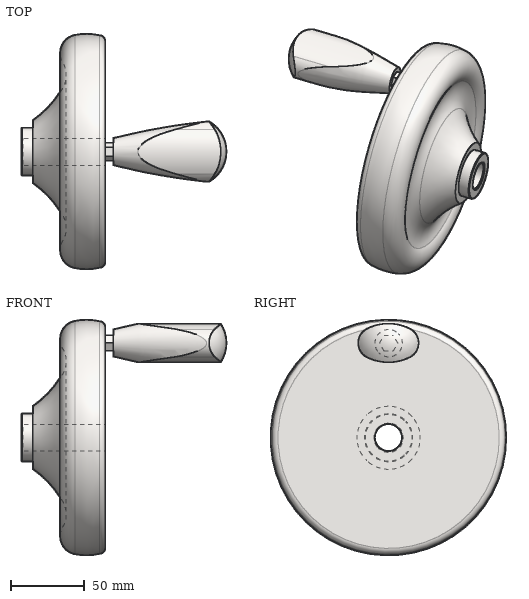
import cadquery as cq
import math

rim_radius = 80.0
rim_front_x = 26.4
rim_back_x = 57.0
crown_start_x = 36.2
crown_end_x = 45.3
crown_start_radius = 79.2
back_round_start_x = 52.8
back_round_start_radius = 79.0
back_face_radius = 75.0
rim_front_radius = 69.3
valley_end_radius = 59.0
valley_end_x = 28.8
valley_bottom_radius = 51.7
valley_bottom_x = 30.2
web_inflection_radius = 40.5
web_inflection_x = 26.0
web_middle_x = 18.4
web_middle_radius = 30.5
boss_radius = 21.5
hub_radius = 16.3
hub_length = 7.8
hub_chamfer = 0.5
bore_radius = 9.1
bore_chamfer = 0.8

handle_offset = 64.2
stem_across_flats = 10.7
grip_start_x = 62.4
grip_start_radius = 9.3
grip_middle_x = 92.0
grip_middle_radius = 15.7
grip_shoulder_x = 127.0
grip_shoulder_radius = 20.6
grip_end_x = 139.2

oval_half_height = 13.1
oval_half_width = 20.5
oval_join_y = 15.0
oval_join_z = 9.5


def revolve_about_x(profile):
    """Turn a closed XY profile fully around the X axis."""
    return profile.revolve(360, (0, 0, 0), (1, 0, 0))


def midway_on_arc(start, end, center):
    """Return the point halfway along the short arc from start to end about center."""
    radius = math.dist(start, center)
    dx = start[0] + end[0] - 2 * center[0]
    dy = start[1] + end[1] - 2 * center[1]
    length = math.hypot(dx, dy)
    return center[0] + radius * dx / length, center[1] + radius * dy / length


def make_wheel():
    """Dished wheel with a rounded rim, a projecting hub and a through bore."""
    back_round_middle = midway_on_arc(
        (back_round_start_x, back_round_start_radius),
        (rim_back_x, back_face_radius),
        (back_round_start_x, back_face_radius),
    )
    profile = (
        cq.Workplane("XY")
        .moveTo(0, bore_radius + bore_chamfer)
        .lineTo(0, hub_radius - hub_chamfer)
        .lineTo(hub_chamfer, hub_radius)
        .lineTo(hub_length, hub_radius)
        .lineTo(hub_length, boss_radius)
        .threePointArc((web_middle_x, web_middle_radius), (web_inflection_x, web_inflection_radius))
        .threePointArc((valley_bottom_x, valley_bottom_radius), (valley_end_x, valley_end_radius))
        .threePointArc((rim_front_x, rim_front_radius), (crown_start_x, crown_start_radius))
        .threePointArc((crown_end_x, rim_radius), (back_round_start_x, back_round_start_radius))
        .threePointArc(back_round_middle, (rim_back_x, back_face_radius))
        .lineTo(rim_back_x, bore_radius)
        .lineTo(bore_chamfer, bore_radius)
        .close()
    )
    return revolve_about_x(profile)


def make_grip():
    """Tapered, domed turning trimmed by an oval prism."""
    dome_radius = (
        (grip_shoulder_radius**2 + (grip_end_x - grip_shoulder_x) ** 2)
        / (2 * (grip_end_x - grip_shoulder_x))
    )
    dome_middle = midway_on_arc(
        (grip_shoulder_x, grip_shoulder_radius), (grip_end_x, 0), (grip_end_x - dome_radius, 0)
    )
    turning = revolve_about_x(
        cq.Workplane("XY")
        .moveTo(grip_start_x, 0)
        .lineTo(grip_start_x, grip_start_radius)
        .threePointArc(
            (grip_middle_x, grip_middle_radius), (grip_shoulder_x, grip_shoulder_radius)
        )
        .threePointArc(dome_middle, (grip_end_x, 0))
        .close()
    )
    oval = (
        cq.Workplane("YZ", origin=(grip_start_x, 0, 0))
        .moveTo(-oval_join_y, oval_join_z)
        .threePointArc((0, oval_half_height), (oval_join_y, oval_join_z))
        .threePointArc((oval_half_width, 0), (oval_join_y, -oval_join_z))
        .threePointArc((0, -oval_half_height), (-oval_join_y, -oval_join_z))
        .threePointArc((-oval_half_width, 0), (-oval_join_y, oval_join_z))
        .close()
        .extrude(grip_end_x - grip_start_x)
    )
    return turning.intersect(oval)


def make_handle():
    """Grip with a hexagonal stem that butts against the back of the rim."""
    stem_across_corners = stem_across_flats / math.cos(math.pi / 6)
    stem = (
        cq.Workplane("YZ", origin=(rim_back_x, 0, 0))
        .polygon(6, stem_across_corners)
        .extrude(grip_start_x - rim_back_x)
    )
    return make_grip().union(stem).translate((0, 0, handle_offset))


wheel = make_wheel()
handle = make_handle()
result = cq.Compound.makeCompound([wheel.val(), *handle.solids().vals()])